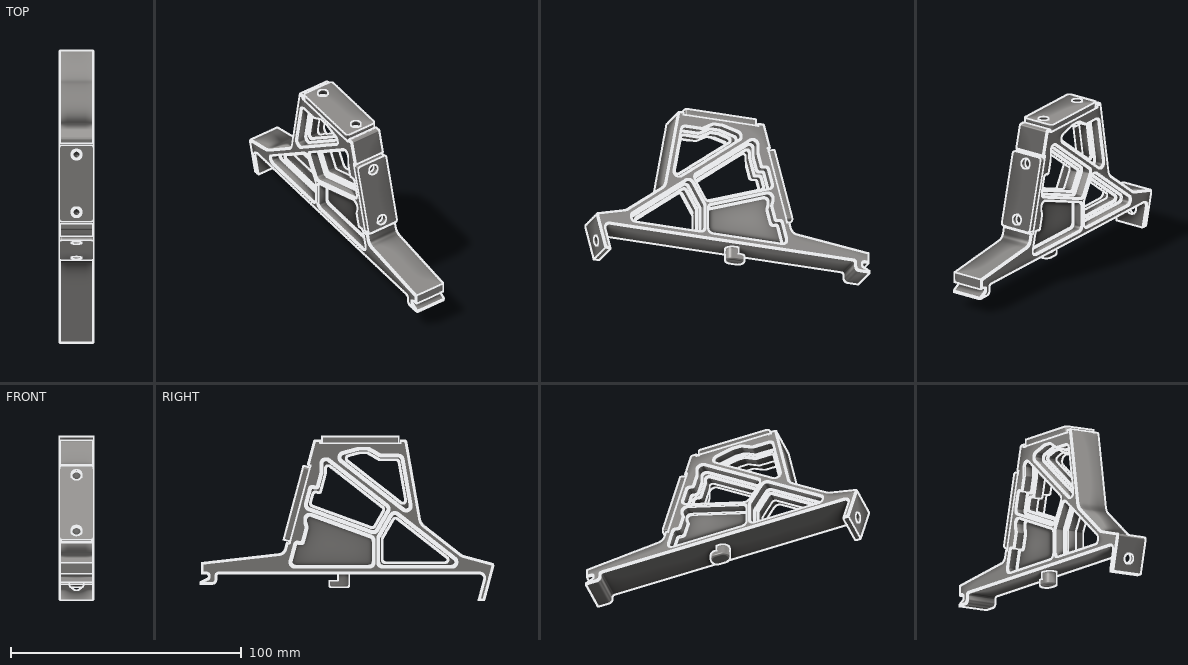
import cadquery as cq
import math


WIDTH = 15.0
EDGE_CHAMFER = 0.5
BEAM_UNDERSIDE = (90, 0.0)

SLOPE_TILT = 15
RIB_TILT = 52
TOWER_TILT = 10
SLOPE_NORMAL = 180 - SLOPE_TILT
SLOPE_UP = 90 - SLOPE_TILT

PAD_LENGTH = 33.3
PAD_THICKNESS = 3.0
PAD_CORNER_RADIUS = 1.25
PAD_TOP_HEIGHT = 59.57
PAD_SLOPE_DISTANCE = 30.43
TOP_PAD_CENTRE = 5.8
SLOPE_PAD_CENTRE = 23.7
RECESS_LENGTH = 35.0
RECESS_DEPTH = 1.3

SCREW_SPACING = 25.0
PAD_HOLE_DIAMETER = 4.5
TAP_DIAMETER = 3.3
TAP_DEPTH = 5.0
DRILL_POINT_ANGLE = 118

SIDE_WALL = 3.0
DIAGONAL_RIB = 3.0
INNER_RIB = 2.0
PAD_WALL = 2.4
SCREW_BOSS_WALL = 5.4
SCREW_BOSS_HALF = 3.75
BEAM_FLOOR = 3.0

WEB_THICKNESS = 5.0
WEB_LEDGE = 2.0
POCKET_CORNER_RADIUS = 2.0
BOSS_CORNER_RADIUS = 1.0
WINDOW_CORNER_RADIUS = 1.0

LEG_THICKNESS = 2.5
LEG_BOTTOM = -11.57
LEG_HOLE_DIAMETER = 4.5
LEG_HOLE_HEIGHT = -5.03

ARM_END = -63.05
HOOK_BACK = -56.6
HOOK_THROAT = -60.05
HOOK_BOTTOM = -4.55
HOOK_TIP = -63.555
HOOK_TIP_HEIGHT = 0.85
HOOK_RAMP_TOP = -1.9

CORNER_RADIUS = 1.0
LEG_ROOT_RADIUS = 2.0
THROAT_RADIUS = 0.8
ARM_ROOT_RADIUS = 3.0
RIB_END_RADIUS = 5.0

PEG_RADIUS = 3.05
PEG_STEM_CENTRE = -2.05
PEG_FOOT_CENTRE = -4.7
PEG_STEM_FLAT = -4.0
PEG_HEIGHT = 6.0
PEG_FOOT_HEIGHT = 3.0
PEG_FILLET = 1.0

floor_top = PAD_TOP_HEIGHT - PAD_THICKNESS
floor_slope = PAD_SLOPE_DISTANCE - PAD_THICKNESS
tower_top = (90, floor_top + RECESS_DEPTH)
tower_slope = (SLOPE_NORMAL, floor_slope + RECESS_DEPTH)
tower_back = (TOWER_TILT, 35.34)
rib_top = (RIB_TILT, 36.92)
rib_bottom = (RIB_TILT, rib_top[1] - DIAGONAL_RIB)
left_arm_top = (90 - SLOPE_TILT, 20.47)
right_arm_top = (96.5, 11.78)
leg_outside = (-SLOPE_TILT, 60.54)
leg_inside = (-SLOPE_TILT, leg_outside[1] - LEG_THICKNESS)
leg_end = (90, LEG_BOTTOM)


def meet(first, second):
    """Point where two profile edges cross."""
    a, b = math.radians(first[0]), math.radians(second[0])
    d, e = first[1], second[1]
    det = math.sin(b - a)
    return (d * math.sin(b) - e * math.sin(a)) / det, (e * math.cos(a) - d * math.cos(b)) / det


def corners(edges):
    """Corner points of a closed outline given by its edges in order."""
    return [meet(edges[i - 1], edge) for i, edge in enumerate(edges)]


def slab(points, thickness):
    """Closed outline extruded equally to both sides of X = 0."""
    return cq.Workplane("YZ").polyline(points).close().extrude(thickness / 2, both=True)


def round_at(body, points, radius):
    """Fillet the edges along X that pass through the given profile points."""
    for y, z in points:
        body = body.edges(cq.selectors.NearestToPointSelector((0, y, z))).fillet(radius)
    return body


def flared(face, side):
    """Widening rim that turns the edge of an opening into a chamfer; side is the way it opens."""
    base = face.moved(cq.Location(cq.Vector(-side * EDGE_CHAMFER, 0, 0))).outerWire()
    return cq.Solid.extrudeLinear(base, [], cq.Vector(side * EDGE_CHAMFER, 0, 0), -45)


def frame_blank():
    """Outer shape of the frame with its side edges chamfered."""
    tip_bottom = (HOOK_TIP, HOOK_BOTTOM)
    tip_top = (HOOK_TIP, HOOK_BOTTOM + HOOK_TIP_HEIGHT)
    throat_low = (HOOK_THROAT, HOOK_RAMP_TOP)
    throat_high = (HOOK_THROAT, 0)
    hook_heel = (HOOK_BACK, HOOK_BOTTOM)
    hook_root = (HOOK_BACK, 0)
    leg_root = meet(leg_inside, BEAM_UNDERSIDE)
    leg_shoulder = meet(leg_outside, left_arm_top)
    rib_foot = meet(left_arm_top, rib_top)
    rib_head = meet(rib_top, tower_back)
    tower_corners = [meet(tower_back, tower_top), meet(tower_top, tower_slope)]
    arm_root = meet(tower_slope, right_arm_top)
    arm_tip = meet(right_arm_top, (0, ARM_END))
    outline = [leg_root, meet(leg_end, leg_inside), meet(leg_outside, leg_end), leg_shoulder]
    outline += [rib_foot, rib_head, *tower_corners, arm_root, arm_tip, (ARM_END, 0)]
    outline += [throat_high, throat_low, tip_top, tip_bottom, hook_heel, hook_root]
    blank = slab(outline, WIDTH)
    blank = round_at(blank, [leg_shoulder, *tower_corners], CORNER_RADIUS)
    blank = round_at(blank, [leg_root, hook_heel], LEG_ROOT_RADIUS)
    blank = round_at(blank, [hook_root, throat_high], CORNER_RADIUS)
    blank = round_at(blank, [throat_low], THROAT_RADIUS)
    blank = round_at(blank, [arm_root], ARM_ROOT_RADIUS)
    blank = round_at(blank, [rib_foot, rib_head], RIB_END_RADIUS)
    return blank.faces("<X or >X").chamfer(EDGE_CHAMFER)


def pad_place(angle, distance, centre):
    """Plane on the pad seat: local y runs along the pad, local z points out of the frame."""
    a = math.radians(angle)
    out = (0, math.cos(a), math.sin(a))
    along = (0, math.sin(a), -math.cos(a))
    origin = tuple(distance * o + centre * g for o, g in zip(out, along))
    return cq.Plane(origin=origin, xDir=(1, 0, 0), normal=out)


PAD_SEATS = [
    pad_place(90, floor_top, TOP_PAD_CENTRE),
    pad_place(SLOPE_NORMAL, floor_slope, SLOPE_PAD_CENTRE),
]
SCREW_POINTS = [(0, -SCREW_SPACING / 2), (0, SCREW_SPACING / 2)]


def pad(seat):
    """Mounting pad with two clearance holes."""
    block = cq.Workplane(seat).rect(WIDTH, PAD_LENGTH).extrude(PAD_THICKNESS)
    block = block.edges(cq.selectors.ParallelDirSelector(seat.zDir)).fillet(PAD_CORNER_RADIUS)
    holes = cq.Workplane(seat).pushPoints(SCREW_POINTS)
    return block.cut(holes.circle(PAD_HOLE_DIAMETER / 2).extrude(PAD_THICKNESS))


def recess(seat):
    """Shallow seat in the frame, open at both sides."""
    return cq.Workplane(seat).rect(2 * WIDTH, RECESS_LENGTH).extrude(2 * RECESS_DEPTH)


def tapped_holes(seat):
    """Blind drilled holes with conical ends below the two pad holes."""
    radius = TAP_DIAMETER / 2
    point = radius / math.tan(math.radians(DRILL_POINT_ANGLE / 2))
    half_section = [(0, 0), (radius, 0), (radius, -TAP_DEPTH), (0, -TAP_DEPTH - point)]
    drill = cq.Workplane("XZ").polyline(half_section).close().revolve(360, (0, 0), (0, 1)).val()
    return cq.Workplane(seat).pushPoints(SCREW_POINTS).eachpoint(lambda spot: drill.moved(spot))


tower_back_wall = (TOWER_TILT, tower_back[1] - SIDE_WALL)
top_wall = (90, floor_top - PAD_WALL)
top_boss = (90, floor_top - SCREW_BOSS_WALL)
top_boss_ramp = (60, 51.57)
top_shoulder = (105, 51.0)
slope_wall = (SLOPE_NORMAL, floor_slope - PAD_WALL)
slope_boss = (SLOPE_NORMAL, floor_slope - SCREW_BOSS_WALL)
upper_screw = SLOPE_PAD_CENTRE + SCREW_SPACING / 2
lower_screw = SLOPE_PAD_CENTRE - SCREW_SPACING / 2
upper_boss_end = (SLOPE_UP, upper_screw - SCREW_BOSS_HALF)
lower_boss_end = (SLOPE_UP, lower_screw - SCREW_BOSS_HALF)
cross_rib_top = (70, 20.62)
cross_rib_bottom = (70, cross_rib_top[1] - INNER_RIB)
short_rib_left = (-30, 3.86)
short_rib_right = (-30, short_rib_left[1] - INNER_RIB)
post_left = (0, 13.56)
post_right = (0, post_left[1] - INNER_RIB)
beam_top = (90, BEAM_FLOOR)
middle_side = (180, 11.1)
blind_side = (180, 18.1)
blind_ramp = (180 + SLOPE_TILT, 11.71)

upper_pocket = corners([tower_back_wall, top_boss, top_boss_ramp, top_wall, top_shoulder, rib_top])
middle_pocket = corners(
    [rib_bottom, middle_side, slope_boss, upper_boss_end, slope_wall, cross_rib_top, short_rib_right]
)
left_pocket = corners([rib_bottom, short_rib_left, post_left, beam_top])
blind_pocket = corners(
    [post_right, cross_rib_bottom, blind_side, blind_ramp, slope_boss, lower_boss_end, slope_wall, beam_top]
)
boss_corners = [
    meet(slope_boss, upper_boss_end),
    meet(upper_boss_end, slope_wall),
    meet(slope_boss, lower_boss_end),
    meet(lower_boss_end, slope_wall),
    meet(blind_side, blind_ramp),
    meet(blind_ramp, slope_boss),
]


def pocket_outline(points):
    """Rounded pocket outline on the +X side of the frame."""
    small = [p for p in points if p in boss_corners]
    large = [p for p in points if p not in boss_corners]
    body = round_at(slab(points, WIDTH), small, BOSS_CORNER_RADIUS)
    return round_at(body, large, POCKET_CORNER_RADIUS).faces(">X").wires().val()


def pocket_cuts(points):
    """Both recesses of one pocket, with chamfered mouths and chamfered floor corners."""
    depth = (WIDTH - WEB_THICKNESS) / 2
    outline = pocket_outline(points)
    cuts = []
    for side in (1, -1):
        shift = (side - 1) * WIDTH / 2
        face = cq.Face.makeFromWires(outline.moved(cq.Location(cq.Vector(shift, 0, 0))))
        body = cq.Workplane(cq.Solid.extrudeLinear(face, cq.Vector(-side * depth, 0, 0)))
        body = body.faces("<X" if side > 0 else ">X").chamfer(EDGE_CHAMFER)
        cuts += [body, cq.Workplane(flared(face, side))]
    return cuts


def window_cut(points):
    """Opening through the web, set in from the pocket wall and chamfered on both sides."""
    outline = cq.Workplane("YZ").polyline(points).close().offset2D(-WEB_LEDGE, "intersection")
    opening = outline.extrude(WEB_THICKNESS / 2, both=True).edges("|X").fillet(WINDOW_CORNER_RADIUS)
    body = opening
    for side in (1, -1):
        face = opening.faces(">X" if side > 0 else "<X").val()
        body = body.union(cq.Workplane(flared(face, side)))
    return body


def peg():
    """Peg with a foot that reaches toward -Y."""
    span = PEG_STEM_CENTRE - PEG_FOOT_CENTRE
    middle = (PEG_STEM_CENTRE + PEG_FOOT_CENTRE) / 2
    body = cq.Workplane("XY").center(0, middle).slot2D(span + 2 * PEG_RADIUS, 2 * PEG_RADIUS, 90)
    body = body.extrude(-PEG_HEIGHT).faces("<Z").edges().fillet(PEG_FILLET)
    gap_height = PEG_HEIGHT - PEG_FOOT_HEIGHT
    gap = cq.Workplane("XY").box(2 * WIDTH, WIDTH, gap_height, centered=(True, False, False))
    return body.cut(gap.translate((0, PEG_STEM_FLAT - WIDTH, -gap_height)))


def leg_hole():
    """Hole square through the left leg."""
    a = math.radians(-SLOPE_TILT)
    out = cq.Vector(0, math.cos(a), math.sin(a))
    y = meet(leg_inside, (90, LEG_HOLE_HEIGHT))[0]
    start = cq.Vector(0, y, LEG_HOLE_HEIGHT) - out * LEG_THICKNESS
    return cq.Workplane(cq.Solid.makeCylinder(LEG_HOLE_DIAMETER / 2, 3 * LEG_THICKNESS, start, out))


frame = frame_blank()
for points in (upper_pocket, middle_pocket, left_pocket, blind_pocket):
    for tool in pocket_cuts(points):
        frame = frame.cut(tool)
for points in (upper_pocket, middle_pocket, left_pocket):
    frame = frame.cut(window_cut(points))
frame = frame.union(peg()).cut(leg_hole())
for seat in PAD_SEATS:
    frame = frame.cut(recess(seat)).cut(tapped_holes(seat))

pads = [pad(seat) for seat in PAD_SEATS]

result = cq.Compound.makeCompound([frame.val(), *[body.val() for body in pads]])